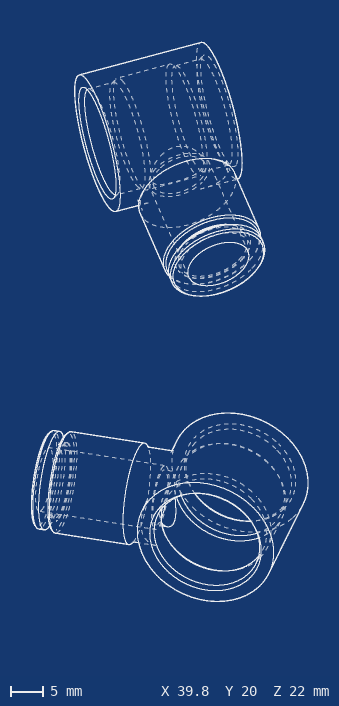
import cadquery as cq
import math

overall_length = 39.8
ring_radius = 11.005
ring_width = 20.0
bore_radius = 8.5
mouth_flare = 0.48
mouth_depth = 0.8

relief_depth = 0.48
relief_width = 10.2
relief_flank = 0.8

neck_radius = 7.5
neck_end = 13.15
neck_blend = 0.48
shoulder_blend = 0.5
body_radius = 8.0
body_end = 26.05
body_end_chamfer = 0.3
lip_radius = 6.2
lip_length = 0.1
sleeve_radius = 5.7
collar_radius = 7.75
collar_start = 27.55
collar_chamfer = 0.3
sleeve_blend = 0.2
stem_end = overall_length - ring_radius

passage_radius = 4.35
passage_end = 10.05
socket_radius = 5.0


def make_stem():
    """Solid turned stem, starting on the ring axis."""
    slope_start = neck_end + shoulder_blend * math.sin(math.pi / 4)
    slope_radius = neck_radius + shoulder_blend * (1 - math.cos(math.pi / 4))
    profile = (
        cq.Workplane("XY")
        .moveTo(0, 0)
        .lineTo(0, neck_radius)
        .lineTo(neck_end, neck_radius)
        .radiusArc((slope_start, slope_radius), -shoulder_blend)
        .lineTo(slope_start + body_radius - slope_radius, body_radius)
        .lineTo(body_end - body_end_chamfer, body_radius)
        .lineTo(body_end, body_radius - body_end_chamfer)
        .lineTo(body_end, lip_radius)
        .lineTo(body_end + lip_length, lip_radius)
        .lineTo(body_end + lip_length, sleeve_radius)
        .lineTo(collar_start - sleeve_blend, sleeve_radius)
        .radiusArc((collar_start, sleeve_radius + sleeve_blend), -sleeve_blend)
        .lineTo(collar_start, collar_radius)
        .lineTo(stem_end - collar_chamfer, collar_radius)
        .lineTo(stem_end, collar_radius - collar_chamfer)
        .lineTo(stem_end, 0)
        .close()
    )
    return profile.revolve(360, (0, 0, 0), (1, 0, 0))


def make_ring_bore():
    """Cutter for the ring bore: chamfered mouths and a central relief groove."""
    half_width = ring_width / 2
    half_relief = relief_width / 2
    mouth_radius = bore_radius + mouth_flare
    relief_radius = bore_radius + relief_depth
    profile = (
        cq.Workplane("XY")
        .moveTo(0, -half_width)
        .lineTo(mouth_radius, -half_width)
        .lineTo(bore_radius, -half_width + mouth_depth)
        .lineTo(bore_radius, -half_relief)
        .lineTo(relief_radius, -half_relief + relief_flank)
        .lineTo(relief_radius, half_relief - relief_flank)
        .lineTo(bore_radius, half_relief)
        .lineTo(bore_radius, half_width - mouth_depth)
        .lineTo(mouth_radius, half_width)
        .lineTo(0, half_width)
        .close()
    )
    return profile.revolve(360, (0, 0, 0), (0, 1, 0))


ring = cq.Workplane("XZ").circle(ring_radius).extrude(ring_width / 2, both=True)
outer = ring.union(make_stem())

seam_box = cq.selectors.BoxSelector(
    (0, -neck_radius, -neck_radius),
    (ring_radius, neck_radius, neck_radius),
)
outer = outer.edges(seam_box).fillet(neck_blend)

passage = cq.Workplane("YZ").circle(passage_radius).extrude(passage_end)
socket_length = stem_end - passage_end
socket = cq.Workplane("YZ").workplane(offset=passage_end).circle(socket_radius).extrude(socket_length)
result = outer.cut(make_ring_bore()).cut(passage).cut(socket)